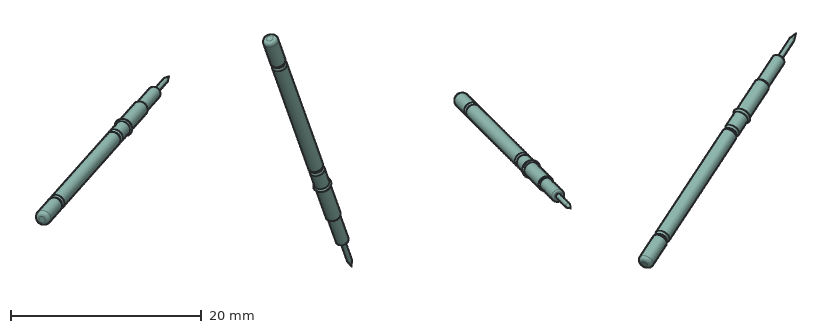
import cadquery as cq

total_length = 35.4
tip_length = 1.0
plunger_length = 3.95
neck_length = 4.05

plunger_diameter = 0.55
neck_diameter = 1.4
body_diameter = 1.65
collar_diameter = 2.0

shoulder_length = 0.18
neck_rounding = 0.2
rear_rounding = 0.45

collar_center = 22.7
collar_width = 0.45

groove_width = 0.65
groove_depth = 0.15
groove_centers = (3.93, 20.15)

plunger_radius = plunger_diameter / 2
neck_radius = neck_diameter / 2
body_radius = body_diameter / 2
collar_radius = collar_diameter / 2
neck_face = total_length - plunger_length
body_front = neck_face - neck_length


def revolve_on_axis(profile):
    """Turn a closed half profile, drawn as (radius, Y), about the Y axis."""
    return profile.close().revolve(360, (0, 0, 0), (0, 1, 0))


def make_body():
    """Tube with a rounded rear end, a conical shoulder and a neck with a rounded rim."""
    profile = (
        cq.Workplane("XY")
        .lineTo(body_radius - rear_rounding, 0)
        .radiusArc((body_radius, rear_rounding), -rear_rounding)
        .lineTo(body_radius, body_front)
        .lineTo(neck_radius, body_front + shoulder_length)
        .lineTo(neck_radius, neck_face - neck_rounding)
        .radiusArc((neck_radius - neck_rounding, neck_face), -neck_rounding)
        .lineTo(0, neck_face)
    )
    return revolve_on_axis(profile)


def make_plunger():
    """Thin plunger leaving the neck face and ending in a sharp cone."""
    profile = (
        cq.Workplane("XY")
        .moveTo(0, body_front)
        .lineTo(plunger_radius, body_front)
        .lineTo(plunger_radius, total_length - tip_length)
        .lineTo(0, total_length)
    )
    return revolve_on_axis(profile)


def make_collar():
    """Press ring around the body with a fully rounded rim."""
    half_width = collar_width / 2
    rim_start = collar_radius - half_width
    profile = (
        cq.Workplane("XY")
        .moveTo(0, collar_center - half_width)
        .lineTo(rim_start, collar_center - half_width)
        .threePointArc((collar_radius, collar_center), (rim_start, collar_center + half_width))
        .lineTo(0, collar_center + half_width)
    )
    return revolve_on_axis(profile)


def make_groove(center):
    """Ring-shaped cutter for one shallow V-shaped groove."""
    half_width = groove_width / 2
    profile = (
        cq.Workplane("XY")
        .moveTo(body_radius, center - half_width)
        .lineTo(body_radius - groove_depth, center)
        .lineTo(body_radius, center + half_width)
    )
    return revolve_on_axis(profile)


result = make_body().union(make_plunger()).union(make_collar())
for groove_center in groove_centers:
    result = result.cut(make_groove(groove_center))